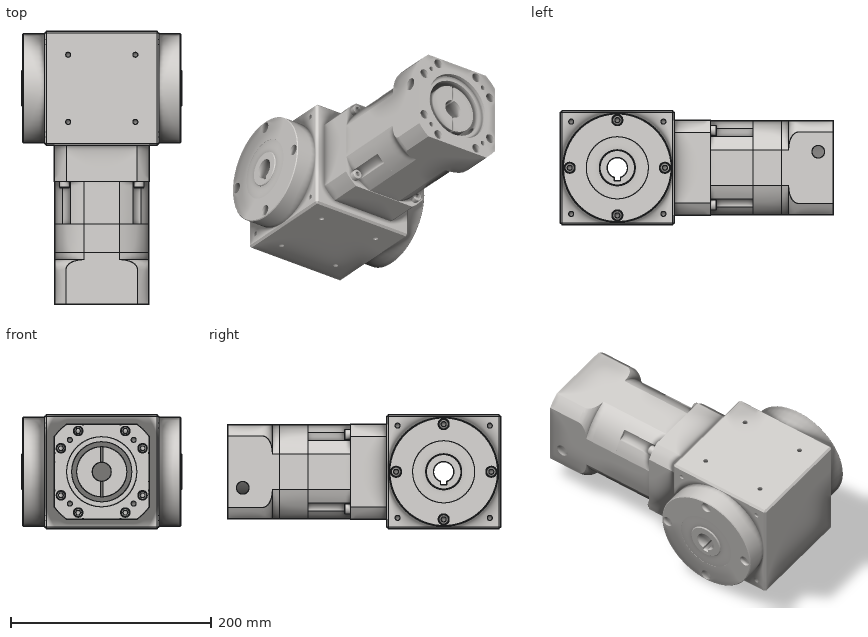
import cadquery as cq
import math


CUBE = 114
CUBE_CHAMFER = 2
FLANGE_R = 54.5
FLANGE_X = 79
FLANGE_CHAMFER = 0.8
SEAL_R = 31
SEAL_RECESS = 0.2
SHAFT_R = 18
SHAFT_X = 80
SHAFT_CHAMFER = 0.8
BORE_D = 20
KEY_WIDTH = 6
KEY_BOTTOM = 12.8
TAPPED_D = 5
TAPPED_DEPTH = 12
DRILL_TIP_ANGLE = 118
TOP_HOLE_PITCH = 67
SIDE_HOLE_PITCH = 92
FLANGE_SCREW_CIRCLE_R = 47.5
FLANGE_SCREW_HOLE_D = 11
FLANGE_SCREW_HOLE_DEPTH = 20
FLANGE_SCREW_HEAD_D = 9.5
FLANGE_SCREW_HEAD_HEIGHT = 6
FLANGE_SCREW_SOCKET_D = 5
FLANGE_SCREW_SOCKET_DEPTH = 3

BLOCK_START = CUBE / 2
BLOCK_END = 93.2
GROOVED_END = 135.2
RING_GEAR_END = 163.9
SHOULDER_START = 170.8
INPUT_END = 215.5

BLOCK_WIDTH = 95
CORNER_R = 59
STAGE_WIDTH = 94
STAGE_R = 50.3
SHOULDER_FILLET = 10

MOUNT_CIRCLE_R = 52.5
MOUNT_HEAD_D = 10
MOUNT_HEAD_HEIGHT = 6
MOUNT_HEAD_CHAMFER = 0.6
MOUNT_SOCKET = 5
MOUNT_SOCKET_DEPTH = 3
GROOVE_R = 6.2

PILOT_D = 70
PILOT_DEPTH = 5.5
CAVITY_D = 60
CAVITY_DEPTH = 42
HUB_D = 50
HUB_SETBACK = 7
HUB_BORE_D = 19
HUB_SLIT = 2
HUB_SLIT_DEPTH = 25
ADAPTER_SCREW_CIRCLE_R = 47
ADAPTER_SCREW_ANGLE = 30
ADAPTER_SCREW_HOLE_D = 9.4
ADAPTER_SCREW_HOLE_DEPTH = 8.4
ADAPTER_SCREW_HEAD_D = 8
ADAPTER_SCREW_HEAD_HEIGHT = 1.4
ADAPTER_SCREW_SOCKET = 4.6
ADAPTER_SCREW_SOCKET_DEPTH = 1
MOTOR_HOLE_CIRCLE_R = 45
ACCESS_D = 12.6
ACCESS_Z = 16
ACCESS_FROM_END = 15

QUARTER_ANGLES = (0, 90, 180, 270)
DIAGONAL_ANGLES = (45, 135, 225, 315)


def across_flats(size):
    """Circumscribed diameter of a hexagon with this size across its flats."""
    return size / math.cos(math.radians(30))


def ring_points(radius, angles):
    """Points on a circle at the given angles in degrees."""
    return [(radius * math.cos(math.radians(a)), radius * math.sin(math.radians(a))) for a in angles]


def station(distance):
    """Plane across the input axis, with its local Z pointing towards -Y."""
    return cq.Workplane("XZ", origin=(0, -distance, 0))


def round_bar(start, end, radius):
    return station(start).circle(radius).extrude(end - start)


def rounded_square_bar(start, end, width, radius):
    square = station(start).rect(width, width).extrude(end - start)
    return square.intersect(round_bar(start, end, radius))


def socket_heads(face, points, diameter, height, socket, socket_depth):
    """Socket screw heads standing on a plane."""
    heads = face.pushPoints(points).circle(diameter / 2).extrude(height)
    sockets = face.workplane(offset=height - socket_depth).pushPoints(points)
    return heads.cut(sockets.polygon(6, across_flats(socket)).extrude(socket_depth))


def drill_holes(body, face, points, diameter, depth):
    """Cut blind holes with a conical drill tip into a plane whose normal points out of the body."""
    radius = diameter / 2
    tip = radius / math.tan(math.radians(DRILL_TIP_ANGLE / 2))
    shank = cq.Solid.makeCylinder(radius, depth, cq.Vector(0, 0, -depth))
    point = cq.Solid.makeCone(0, radius, tip, cq.Vector(0, 0, -depth - tip))
    drill = shank.fuse(point)
    drills = face.pushPoints(points).eachpoint(lambda place: drill.moved(place), useLocalCoordinates=True)
    return body.cut(drills)


def square_points(pitch):
    return [(x, y) for x in (-pitch / 2, pitch / 2) for y in (-pitch / 2, pitch / 2)]


def side_plane(side, distance):
    """Plane across the output axis that faces +X (side=1) or -X (side=-1)."""
    return cq.Workplane(cq.Plane(origin=(side * distance, 0, 0), xDir=(0, 0, 1), normal=(side, 0, 0)))


def flange(side):
    """Round flange with its screws, a slightly recessed seal face and the shaft end."""
    cube_face = side_plane(side, CUBE / 2)
    disc = cube_face.circle(FLANGE_R).extrude(FLANGE_X - CUBE / 2)
    shaft_end = cube_face.circle(SHAFT_R).extrude(SHAFT_X - CUBE / 2)
    outer_face = ">X" if side > 0 else "<X"
    disc = disc.faces(outer_face).edges().chamfer(FLANGE_CHAMFER)
    shaft_end = shaft_end.faces(outer_face).edges().chamfer(SHAFT_CHAMFER)
    seal_face = side_plane(side, FLANGE_X - SEAL_RECESS)
    disc = disc.cut(seal_face.circle(SEAL_R).extrude(SEAL_RECESS))

    points = ring_points(FLANGE_SCREW_CIRCLE_R, QUARTER_ANGLES)
    seat_x = FLANGE_X - FLANGE_SCREW_HOLE_DEPTH
    seat = side_plane(side, seat_x).pushPoints(points)
    disc = disc.cut(seat.circle(FLANGE_SCREW_HOLE_D / 2).extrude(FLANGE_SCREW_HOLE_DEPTH))
    heads = seat.circle(FLANGE_SCREW_HEAD_D / 2).extrude(FLANGE_SCREW_HEAD_HEIGHT)
    head_face = side_plane(side, seat_x + FLANGE_SCREW_HEAD_HEIGHT)
    heads = drill_holes(heads, head_face, points, FLANGE_SCREW_SOCKET_D, FLANGE_SCREW_SOCKET_DEPTH)
    return disc.union(shaft_end).union(heads)


def make_angle_housing():
    body = cq.Workplane("XY").box(CUBE, CUBE, CUBE).edges().chamfer(CUBE_CHAMFER)
    top = cq.Workplane("XY", origin=(0, 0, CUBE / 2))
    bottom = cq.Workplane("XY", origin=(0, 0, -CUBE / 2)).transformed(rotate=(180, 0, 0))
    for face in (top, bottom):
        body = drill_holes(body, face, square_points(TOP_HOLE_PITCH), TAPPED_D, TAPPED_DEPTH)
    for side in (1, -1):
        side_face = side_plane(side, CUBE / 2)
        body = drill_holes(body, side_face, square_points(SIDE_HOLE_PITCH), TAPPED_D, TAPPED_DEPTH)
        body = body.union(flange(side))
    bore = cq.Workplane("YZ").circle(BORE_D / 2).extrude(SHAFT_X, both=True)
    keyway = cq.Workplane("XY").box(2 * SHAFT_X, KEY_WIDTH, KEY_BOTTOM, centered=(True, True, False))
    return body.cut(bore).cut(keyway.translate((0, 0, -KEY_BOTTOM)))


def make_planet_housing():
    """Square mounting block, the grooved tube in front of it and the four mounting screws."""
    block = rounded_square_bar(BLOCK_START, BLOCK_END, BLOCK_WIDTH, CORNER_R)
    tube = rounded_square_bar(BLOCK_END, GROOVED_END, STAGE_WIDTH, STAGE_R)
    points = ring_points(MOUNT_CIRCLE_R, DIAGONAL_ANGLES)
    seat = station(BLOCK_END)
    tube = tube.cut(seat.pushPoints(points).circle(GROOVE_R).extrude(GROOVED_END - BLOCK_END))
    heads = socket_heads(seat, points, MOUNT_HEAD_D, MOUNT_HEAD_HEIGHT, MOUNT_SOCKET, MOUNT_SOCKET_DEPTH)
    heads = heads.faces("<Y").edges("%CIRCLE").chamfer(MOUNT_HEAD_CHAMFER)
    return block.union(tube).union(heads)


def make_ring_gear():
    return rounded_square_bar(GROOVED_END, RING_GEAR_END, STAGE_WIDTH, STAGE_R)


def adapter_shell():
    """Square motor flange whose corners round down to the tube diameter."""
    collar = round_bar(RING_GEAR_END, INPUT_END, STAGE_R)
    head = round_bar(SHOULDER_START, INPUT_END, CORNER_R).faces(">Y").edges().fillet(SHOULDER_FILLET)
    square = station(RING_GEAR_END).rect(STAGE_WIDTH, STAGE_WIDTH).extrude(INPUT_END - RING_GEAR_END)
    return collar.union(head).intersect(square)


def clamp_hub():
    """Split clamping hub that stands on the floor of the cavity."""
    floor = INPUT_END - CAVITY_DEPTH
    hub_end = INPUT_END - HUB_SETBACK
    hub = round_bar(floor, hub_end, HUB_D / 2)
    hub = hub.cut(round_bar(floor, hub_end, HUB_BORE_D / 2))
    slit = station(hub_end - HUB_SLIT_DEPTH).rect(HUB_SLIT, HUB_D).extrude(HUB_SLIT_DEPTH)
    return hub.cut(slit)


def make_motor_adapter():
    body = adapter_shell()
    body = body.cut(round_bar(INPUT_END - PILOT_DEPTH, INPUT_END, PILOT_D / 2))
    body = body.cut(round_bar(INPUT_END - CAVITY_DEPTH, INPUT_END, CAVITY_D / 2))

    for side in (1, -1):
        access = cq.Workplane("YZ", origin=(0, ACCESS_FROM_END - INPUT_END, -side * ACCESS_Z))
        body = body.cut(access.circle(ACCESS_D / 2).extrude(side * STAGE_WIDTH / 2))

    screw_angles = [q + a for q in QUARTER_ANGLES for a in (ADAPTER_SCREW_ANGLE, 90 - ADAPTER_SCREW_ANGLE)]
    points = ring_points(ADAPTER_SCREW_CIRCLE_R, screw_angles)
    seat = station(INPUT_END - ADAPTER_SCREW_HOLE_DEPTH)
    screw_holes = seat.pushPoints(points).circle(ADAPTER_SCREW_HOLE_D / 2)
    body = body.cut(screw_holes.extrude(ADAPTER_SCREW_HOLE_DEPTH))
    heads = socket_heads(
        seat, points, ADAPTER_SCREW_HEAD_D, ADAPTER_SCREW_HEAD_HEIGHT,
        ADAPTER_SCREW_SOCKET, ADAPTER_SCREW_SOCKET_DEPTH,
    )

    motor_points = ring_points(MOTOR_HOLE_CIRCLE_R, DIAGONAL_ANGLES)
    body = drill_holes(body, station(INPUT_END), motor_points, TAPPED_D, TAPPED_DEPTH)
    return body.union(heads).union(clamp_hub())


angle_housing = make_angle_housing()
planet_housing = make_planet_housing()
ring_gear = make_ring_gear()
motor_adapter = make_motor_adapter()

result = cq.Compound.makeCompound([
    angle_housing.val(),
    planet_housing.val(),
    ring_gear.val(),
    motor_adapter.val(),
])